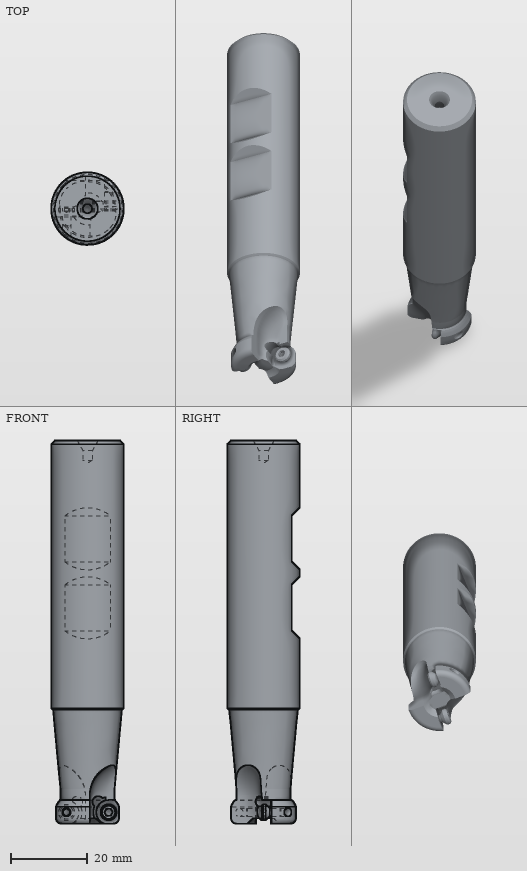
import cadquery as cq
import math

diagonal = math.sqrt(0.5)

total_length = 100.4
shank_radius = 9.5
shank_bottom = 30.3
shank_top_chamfer = 1.0
shank_step = 0.5

flat_y = 7.4
flat_length = 12.0
flat_bottoms = (50.6, 68.6)

centre_mouth_radius = 2.7
centre_pilot_radius = 1.2
centre_cone_half_angle = math.radians(30)
centre_tip_half_angle = math.radians(60)
centre_cone_depth = (centre_mouth_radius - centre_pilot_radius) / math.tan(centre_cone_half_angle)
centre_pilot_depth = 2.5
centre_tip_depth = centre_pilot_radius / math.tan(centre_tip_half_angle)

neck_top_radius = shank_radius - shank_step
neck_radius = 7.1
neck_taper_bottom = 9.1

head_radius = 8.5
head_top = 6.3
head_rim_radius = 7.5
head_rim_z = 6.1
head_shoulder_bulge = 0.1
head_band_top = 4.5
head_band_bottom = 1.5
head_end_radius = 7.1

dish_floor_radius = 2.8
dish_mouth_radius = 4.2
dish_depth = 1.4

flute_count = 2
flute_wall_x = 0.6
flute_floor_y = -0.5
flute_floor_fillet = 4.0
flute_bend_z = 7.8
flute_bend_radius = 8.2
flute_tilt = 4.0
flute_reach = 20.1

seat_x = 5.5
seat_z = 3.0
seat_radius = 3.2
seat_floor_y = 2.1
clearance_radius = 4.0
clearance_floor_y = 1.9
clearance_limit_x = 4.8
corner_relief_x = 2.8
corner_relief_z = 5.7
corner_relief_radius = 1.5
end_slot_width = 2 * clearance_floor_y

screw_radius = 1.1
screw_head_radius = 2.1
screw_head_top_y = -0.5
screw_head_rim = 0.7
screw_head_chamfer = 0.4
screw_head_cone = screw_head_radius - screw_radius
screw_tip_y = 4.5
screw_tip_chamfer = 0.2
socket_corner_diameter = 2.2
socket_depth = 1.0
socket_tip_depth = 0.4


def seat_plane(y):
    """Plane across the seat axis at the given Y, facing +Y."""
    return cq.Plane(origin=(seat_x, y, seat_z), xDir=(1, 0, 0), normal=(0, 1, 0))


def revolve_profile(points):
    """Solid of revolution about Z from (radius, z) points."""
    return cq.Workplane("XZ").polyline(points).close().revolve(360, (0, 0, 0), (0, 1, 0))


def turn_to_flute(solid, index):
    """Turn a solid from the first flute to the flute with the given index."""
    return solid.rotate((0, 0, 0), (0, 0, 1), index * 360 / flute_count)


def make_blank():
    """Turned blank of the shank, tapered neck and rounded cutting head."""
    arc_radius = head_radius - head_end_radius
    arc_middle = (
        head_end_radius + arc_radius * diagonal,
        head_band_bottom * (1 - diagonal),
    )
    return (
        cq.Workplane("XZ")
        .moveTo(0, 0)
        .lineTo(head_end_radius, 0)
        .threePointArc(arc_middle, (head_radius, head_band_bottom))
        .lineTo(head_radius, head_band_top)
        .sagittaArc((head_rim_radius, head_rim_z), -head_shoulder_bulge)
        .lineTo(neck_radius, head_top)
        .lineTo(neck_radius, neck_taper_bottom)
        .lineTo(neck_top_radius, shank_bottom - shank_step)
        .lineTo(shank_radius, shank_bottom)
        .lineTo(shank_radius, total_length - shank_top_chamfer)
        .lineTo(shank_radius - shank_top_chamfer, total_length)
        .lineTo(0, total_length)
        .close()
        .revolve(360, (0, 0, 0), (0, 1, 0))
    )


def make_centre_hole():
    """Conical mouth, cylindrical pilot and drill tip, from the top face down."""
    cone_end = total_length - centre_cone_depth
    pilot_end = cone_end - centre_pilot_depth
    return revolve_profile([
        (0, total_length),
        (centre_mouth_radius, total_length),
        (centre_pilot_radius, cone_end),
        (centre_pilot_radius, pilot_end),
        (0, pilot_end - centre_tip_depth),
    ])


def make_clamping_flat(bottom):
    """Flat cut with ends sloping outward at 45 degrees."""
    depth = shank_radius - flat_y
    top = bottom + flat_length
    return (
        cq.Workplane("YZ")
        .polyline([
            (flat_y, bottom),
            (shank_radius, bottom - depth),
            (shank_radius, top + depth),
            (flat_y, top),
        ])
        .close()
        .extrude(shank_radius, both=True)
    )


def make_end_dish():
    """Shallow conical relief around the middle of the end face."""
    return revolve_profile([
        (0, 0),
        (dish_mouth_radius, 0),
        (dish_floor_radius, dish_depth),
        (0, dish_depth),
    ])


def make_end_slot():
    """Slot along X that joins the two seats across the end face."""
    return cq.Workplane("XY").box(
        2 * head_radius, end_slot_width, dish_depth, centered=(True, True, False)
    )


def make_flute():
    """Straight wall that bends outward, blended into the flat floor by a large fillet."""
    bend_x = flute_wall_x + flute_bend_radius
    bend_middle = flute_bend_radius * diagonal
    return (
        cq.Workplane("XZ", origin=(0, flute_floor_y, 0))
        .moveTo(flute_wall_x, -flute_reach)
        .lineTo(flute_wall_x, flute_bend_z)
        .threePointArc(
            (bend_x - bend_middle, flute_bend_z + bend_middle),
            (bend_x, flute_bend_z + flute_bend_radius),
        )
        .lineTo(flute_reach, flute_bend_z + flute_bend_radius)
        .lineTo(flute_reach, -flute_reach)
        .close()
        .extrude(flute_reach)
        .faces(">Y")
        .edges("not (>X or <Z)")
        .fillet(flute_floor_fillet)
        .rotate(
            (0, flute_floor_y, flute_bend_z),
            (1, flute_floor_y, flute_bend_z),
            flute_tilt,
        )
    )


def make_seat():
    """Round insert seat, open outward, with a wider clearance and a corner relief toward the core."""
    start_y = -head_radius
    seat = cq.Workplane(seat_plane(start_y)).circle(seat_radius).extrude(seat_floor_y - start_y)
    outlet = cq.Workplane("XY", origin=(seat_x, start_y, 0)).box(
        head_radius, seat_floor_y - start_y, seat_z + seat_radius, centered=False
    )
    depth = clearance_floor_y - start_y
    clearance = cq.Workplane(seat_plane(start_y)).circle(clearance_radius).extrude(depth)
    inner_side = cq.Workplane("XY").box(
        clearance_limit_x, 2 * flute_reach, flute_reach, centered=(False, True, False)
    )
    relief = (
        cq.Workplane(seat_plane(start_y))
        .center(corner_relief_x - seat_x, seat_z - corner_relief_z)
        .circle(corner_relief_radius)
        .extrude(depth)
    )
    return seat.union(outlet).union(clearance.intersect(inner_side)).union(relief)


def make_screw_hole():
    """Hole from the seat floor out through the far side of the head."""
    return cq.Workplane(seat_plane(seat_floor_y)).circle(screw_radius).extrude(head_radius)


def make_holder():
    holder = make_blank().cut(make_centre_hole()).cut(make_end_dish()).cut(make_end_slot())
    for bottom in flat_bottoms:
        holder = holder.cut(make_clamping_flat(bottom))
    for index in range(flute_count):
        for feature in (make_flute(), make_seat(), make_screw_hole()):
            holder = holder.cut(turn_to_flute(feature, index))
    return holder


def make_screw():
    """Countersunk screw with a hexagonal socket, its axis along Y through the seat centre."""
    rim_bottom_y = screw_head_top_y + screw_head_chamfer + screw_head_rim
    profile = [
        (0, screw_head_top_y),
        (screw_head_radius - screw_head_chamfer, screw_head_top_y),
        (screw_head_radius, screw_head_top_y + screw_head_chamfer),
        (screw_head_radius, rim_bottom_y),
        (screw_radius, rim_bottom_y + screw_head_cone),
        (screw_radius, screw_tip_y - screw_tip_chamfer),
        (screw_radius - screw_tip_chamfer, screw_tip_y),
        (0, screw_tip_y),
    ]
    body = (
        cq.Workplane("XY")
        .polyline(profile)
        .close()
        .revolve(360, (0, 0, 0), (0, 1, 0))
        .translate((seat_x, 0, seat_z))
    )
    socket = (
        cq.Workplane(seat_plane(screw_head_top_y))
        .polygon(6, socket_corner_diameter)
        .extrude(socket_depth)
    )
    tip_radius = socket_corner_diameter / 2 * math.cos(math.pi / 6)
    socket_tip = cq.Workplane(obj=cq.Solid.makeCone(
        tip_radius,
        0,
        socket_tip_depth,
        pnt=cq.Vector(seat_x, screw_head_top_y + socket_depth, seat_z),
        dir=cq.Vector(0, 1, 0),
    ))
    return body.cut(socket).cut(socket_tip)


holder = make_holder()
screws = [turn_to_flute(make_screw(), index) for index in range(flute_count)]

result = cq.Compound.makeCompound([holder.val(), *[screw.val() for screw in screws]])